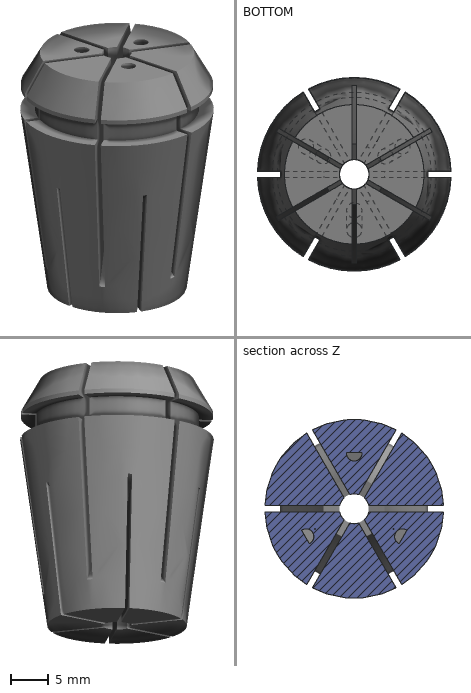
import cadquery as cq
import math

LENGTH = 34.0
BODY_TOP = 25.85
RIM_BOTTOM = 28.97
RIM_TOP = 29.55

BODY_TOP_DIAMETER = 26.0
BODY_TOP_RADIUS = BODY_TOP_DIAMETER / 2
RIM_RADIUS = 12.92
NECK_RADIUS = 11.0
BORE_RADIUS = 1.97
BODY_TAPER = 8.0
NOSE_TAPER = 30.0

SLOTS_PER_END = 6
SLOT_PITCH = 360.0 / SLOTS_PER_END
NOSE_SLOT_WIDTH = 0.8
REAR_SLOT_WIDTH = 0.58
SAW_RADIUS = 22.45
SLOT_CORE_RADIUS = 4.08
NOSE_SLOT_OUTER_Z = 3.98
NOSE_SLOT_CORE_Z = 14.35
NOSE_SLOT_CENTRE_Z = 13.77
REAR_SLOT_OUTER_Z = 18.0
REAR_SLOT_CORE_Z = 9.25

HOLE_COUNT = 3
HOLE_DIAMETER = 2.05
HOLE_CENTRE_RADIUS = 4.83
HOLE_FIRST_ANGLE = 90.0
HOLE_TILT = 10.0
HOLE_DEPTH = 15.3

OVERCUT = 1.7


def body_radius(z):
    """Radius of the tapered body at height z."""
    return BODY_TOP_RADIUS - (BODY_TOP - z) * math.tan(math.radians(BODY_TAPER))


def make_body():
    """Turned collet: tapered body, neck groove, rim, conical nose and bore."""
    nose_radius = RIM_RADIUS - (LENGTH - RIM_TOP) * math.tan(math.radians(NOSE_TAPER))
    return (
        cq.Workplane("XZ")
        .moveTo(BORE_RADIUS, 0)
        .lineTo(body_radius(0), 0)
        .lineTo(BODY_TOP_RADIUS, BODY_TOP)
        .lineTo(NECK_RADIUS, BODY_TOP)
        .lineTo(NECK_RADIUS, RIM_BOTTOM)
        .lineTo(RIM_RADIUS, RIM_BOTTOM)
        .lineTo(RIM_RADIUS, RIM_TOP)
        .lineTo(nose_radius, LENGTH)
        .lineTo(BORE_RADIUS, LENGTH)
        .close()
        .revolve(360, (0, 0, 0), (0, 1, 0))
    )


def make_slot(width, centre_z, core_z, outer_z, open_z):
    """Radial slot along +X: straight floor to the core radius, then a saw-cut arc to the outside.

    open_z lies beyond the end face that the slot is open to.
    """
    outer_radius = body_radius(outer_z)
    clear_radius = BODY_TOP_RADIUS + OVERCUT
    half_chord = math.hypot(outer_radius - SLOT_CORE_RADIUS, outer_z - core_z) / 2
    sagitta = SAW_RADIUS - math.sqrt(SAW_RADIUS**2 - half_chord**2)
    bend = math.copysign(sagitta, outer_z - core_z)
    return (
        cq.Workplane("XZ")
        .moveTo(0, centre_z)
        .lineTo(SLOT_CORE_RADIUS, core_z)
        .sagittaArc((outer_radius, outer_z), bend)
        .lineTo(clear_radius, outer_z)
        .lineTo(clear_radius, open_z)
        .lineTo(0, open_z)
        .close()
        .extrude(width / 2, both=True)
    )


def cut_slots(part, slot, first_angle):
    """Cut one slot set, evenly spaced around the axis."""
    for index in range(SLOTS_PER_END):
        angle = first_angle + index * SLOT_PITCH
        part = part.cut(slot.rotate((0, 0, 0), (0, 0, 1), angle))
    return part


def cut_slanted_holes(part):
    """Drill the blind holes from the nose face, leaning outward toward the rear."""
    tilt = math.radians(HOLE_TILT)
    direction = cq.Vector(math.sin(tilt), 0, -math.cos(tilt))
    start = cq.Vector(HOLE_CENTRE_RADIUS, 0, LENGTH) - direction * OVERCUT
    drill = cq.Workplane(
        cq.Solid.makeCylinder(HOLE_DIAMETER / 2, HOLE_DEPTH + OVERCUT, start, direction)
    )
    for index in range(HOLE_COUNT):
        angle = HOLE_FIRST_ANGLE + index * 360.0 / HOLE_COUNT
        part = part.cut(drill.rotate((0, 0, 0), (0, 0, 1), angle))
    return part


nose_slot = make_slot(
    NOSE_SLOT_WIDTH, NOSE_SLOT_CENTRE_Z, NOSE_SLOT_CORE_Z, NOSE_SLOT_OUTER_Z, LENGTH + OVERCUT
)
rear_slot = make_slot(
    REAR_SLOT_WIDTH, REAR_SLOT_CORE_Z, REAR_SLOT_CORE_Z, REAR_SLOT_OUTER_Z, -OVERCUT
)

collet = make_body()
collet = cut_slots(collet, nose_slot, 0.0)
collet = cut_slots(collet, rear_slot, SLOT_PITCH / 2)
result = cut_slanted_holes(collet)